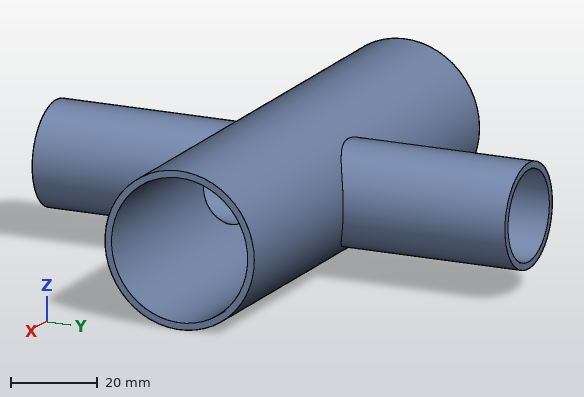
import cadquery as cq

length = 120.6
main_outer_diameter = 38.1
main_inner_diameter = 34.7
branch_outer_diameter = 25.5
branch_inner_diameter = 22.1


def centered_cylinder(plane, diameter):
    """Cylinder of the full length, centred on the origin, along the plane's normal."""
    return cq.Workplane(plane).circle(diameter / 2).extrude(length / 2, both=True)


outer_body = centered_cylinder("YZ", main_outer_diameter).union(
    centered_cylinder("XZ", branch_outer_diameter)
)

main_bore = centered_cylinder("YZ", main_inner_diameter)
branch_bore = centered_cylinder("XZ", branch_inner_diameter)

result = outer_body.cut(main_bore).cut(branch_bore)